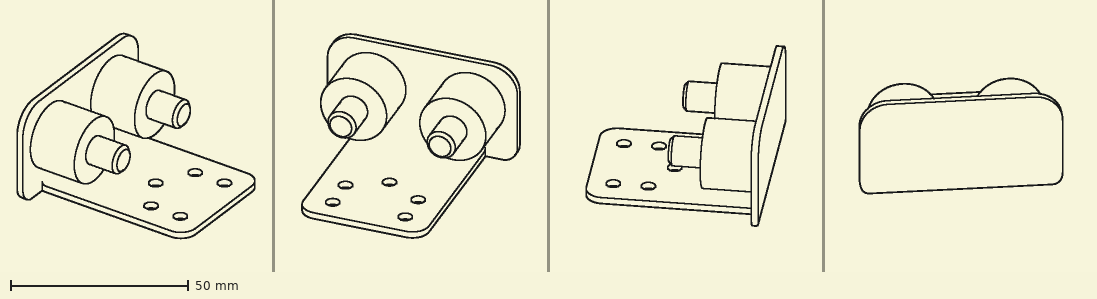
import cadquery as cq

thickness = 2.0
bend_inner_radius = 1.0
bend_outer_radius = bend_inner_radius + thickness

base_length = 51.0
base_width = 38.05
base_corner_radius = 5.0

upright_width = 57.5
upright_height = 30.5
upright_top_radius = 8.0
upright_bottom_radius = 5.0

stud_spacing = 30.0
stud_height = 16.7
collar_diameter = 20.0
collar_length = 15.0
pin_diameter = 8.5
pin_length = 10.0
pin_chamfer = 1.0

hole_diameter = 4.0
single_hole_x = 27.7
hole_rows_x = (33.7, 43.7)
hole_row_spacing = 21.95


def make_bent_strip():
    """L-shaped sheet, as wide as the upright, rounded at the bend."""
    legs = (
        cq.Workplane("XZ")
        .polyline([
            (0, 0),
            (base_length, 0),
            (base_length, thickness),
            (thickness, thickness),
            (thickness, upright_height),
            (0, upright_height),
        ])
        .close()
        .extrude(upright_width / 2, both=True)
    )
    inner_corner = cq.selectors.NearestToPointSelector((thickness, 0, thickness))
    outer_corner = cq.selectors.NearestToPointSelector((0, 0, 0))
    legs = legs.edges("|Y").edges(inner_corner).fillet(bend_inner_radius)
    return legs.edges("|Y").edges(outer_corner).fillet(bend_outer_radius)


def make_upright_envelope():
    """Rounded outline of the upright, one sheet thickness deep."""
    return (
        cq.Workplane("XY")
        .box(thickness, upright_width, upright_height, centered=(False, True, False))
        .edges("|X and >Z")
        .fillet(upright_top_radius)
        .edges("|X and <Z")
        .fillet(upright_bottom_radius)
    )


def make_base_envelope():
    """Rounded outline of the base, tall enough to keep the inside of the bend."""
    return (
        cq.Workplane("XY")
        .box(base_length, base_width, bend_outer_radius, centered=(False, True, False))
        .edges("|Z and >X")
        .fillet(base_corner_radius)
    )


def make_stud(y):
    """Collar with a thinner, chamfered pin on its end."""
    collar = (
        cq.Workplane("YZ", origin=(thickness, y, stud_height))
        .circle(collar_diameter / 2)
        .extrude(collar_length)
    )
    pin = (
        cq.Workplane("YZ", origin=(thickness + collar_length, y, stud_height))
        .circle(pin_diameter / 2)
        .extrude(pin_length)
        .faces(">X")
        .chamfer(pin_chamfer)
    )
    return collar.union(pin)


def make_holes():
    """Cutters for the mounting holes through the base."""
    centers = [(single_hole_x, 0)]
    for x in hole_rows_x:
        for side in (-1, 1):
            centers.append((x, side * hole_row_spacing / 2))
    return cq.Workplane("XY").pushPoints(centers).circle(hole_diameter / 2).extrude(thickness)


outline = make_upright_envelope().union(make_base_envelope())
result = make_bent_strip().intersect(outline).cut(make_holes())
for side in (-1, 1):
    result = result.union(make_stud(side * stud_spacing / 2))